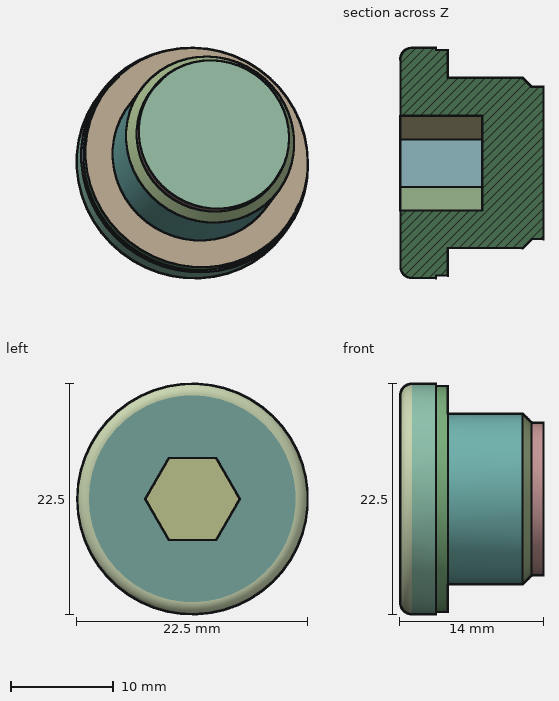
import cadquery as cq

total_length = 14.0

head_diameter = 22.5
head_thickness = 3.5
head_edge_radius = 1.17

collar_diameter = 22.05
collar_end = 4.65

shank_diameter = 16.67
tip_diameter = 14.9
tip_length = 1.17

socket_across_flats = 7.99
socket_depth = 7.99

shoulder_length = (shank_diameter - tip_diameter) / 2
shoulder_end = total_length - tip_length
shank_end = shoulder_end - shoulder_length


def make_body():
    """Revolve the stepped outer profile around the X axis."""
    head_radius = head_diameter / 2
    collar_radius = collar_diameter / 2
    shank_radius = shank_diameter / 2
    tip_radius = tip_diameter / 2
    profile = (
        cq.Workplane("XY")
        .moveTo(0, 0)
        .lineTo(0, head_radius - head_edge_radius)
        .radiusArc((head_edge_radius, head_radius), head_edge_radius)
        .lineTo(head_thickness, head_radius)
        .lineTo(head_thickness, collar_radius)
        .lineTo(collar_end, collar_radius)
        .lineTo(collar_end, shank_radius)
        .lineTo(shank_end, shank_radius)
        .lineTo(shoulder_end, tip_radius)
        .lineTo(total_length, tip_radius)
        .lineTo(total_length, 0)
        .close()
    )
    return profile.revolve(360, (0, 0, 0), (1, 0, 0))


def make_socket():
    """Blind hexagon socket with two corners on the Y axis."""
    return (
        cq.Workplane("YZ")
        .polygon(6, socket_across_flats, circumscribed=True)
        .extrude(socket_depth)
        .rotate((0, 0, 0), (1, 0, 0), 90)
    )


result = make_body().cut(make_socket())